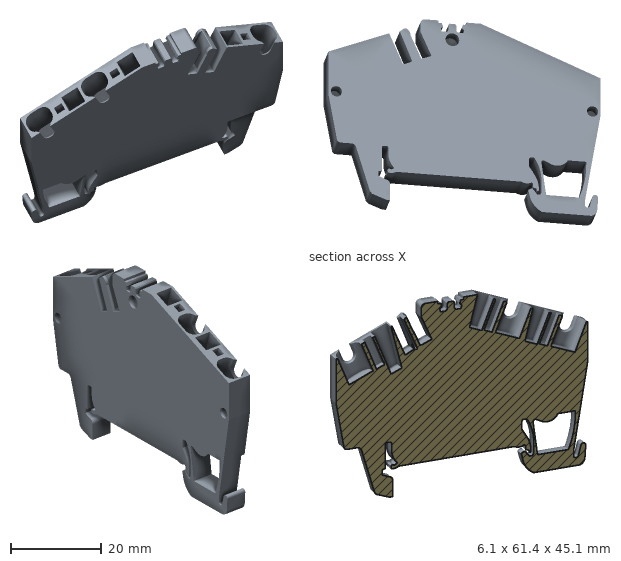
import cadquery as cq
import math

THICKNESS = 6.1
LENGTH = 61.4
HEIGHT = 45.11

RAIL_Z = 7.06
FOOT_TOP_Z = 13.18
FOOT_THICKNESS = 5.15
REAR_SLOT_S = 13.0
REAR_TOE_S = 14.5
RAIL_GAP_Z = 6.3
SIDE_TAPER_Z = 24.8
REAR_EDGE_Z = 35.35
FRONT_EDGE_Z = 34.0
TOP_CORNER_RADIUS = 0.97
TOP_REAR_S = 20.78
FRONT_SLOPE_S = 34.4

GROOVE_S = 27.98
GROOVE_FLOOR_Z = 42.48
GROOVE_STEP_Z = 44.52

REAR_SLOPE_END = (13.7, 41.0)
SLOT_LEAN = math.atan2(3.27, 7.43)
FIN_TOP_Z = 42.5
FIN_SIDE_LIP = 0.7
FIN_REAR = (16.6, 41.9)
FIN_FRONT = (17.25, FIN_TOP_Z)
FIN_REAR_FOOT = (18.92, 34.53)
FIN_FRONT_FOOT = (20.96, 35.35)
FIN_REAR_CORNER = (16.1, 41.66)
FIN_FRONT_CORNER = (18.55, 40.92)
FIN_CLEARANCE = 0.1
FIN_RIB_X = (2.6, 3.5)
FIN_RIB_TOP_Z = 39.5
FIN_RIB_CREST = (19.35, 38.0)

END_HOLE_INSET = 1.8
END_HOLE_Z = 25.7
END_HOLE_DIAMETER = 2.5
PEG_HOLES = (
    (END_HOLE_INSET, END_HOLE_Z, END_HOLE_DIAMETER),
    (LENGTH - END_HOLE_INSET, END_HOLE_Z, END_HOLE_DIAMETER),
    (GROOVE_S, 40.62, 3.1),
)
PEG_HOLE_DEPTH = 2.5

FRONT_UNITS = 2
UNIT_PITCH = 13.5
WIRE_CENTRE = 3.3
WIRE_X = 3.05
WIRE_WIDTH = 5.0
WIRE_LENGTH = 6.2
WIRE_CORNER = 2.05
WIRE_DEPTH = 7.4
NOTCH_X = 5.3
NOTCH_WIDTH = 3.8
NOTCH_DEPTH = 4.4
NOTCH_OVERSHOOT = 2.0
NOTCH_TAPER = 35
TEST_X = (2.6, 4.45)
TEST_RANGE = (7.08, 8.93)
TEST_DEPTH = 7.5
TOOL_X = (1.3, 5.55)
TOOL_RANGE = (9.5, 13.37)
TOOL_DEPTH_FRONT = 7.7
TOOL_DEPTH_REAR = 10.5
TOOL_WALL_TAPER = math.radians(8)


def side_plane(x=0.0):
    """Plane across the thickness; local axes are s (from the rear end towards -Y) and Z."""
    return cq.Workplane(cq.Plane(origin=(x, LENGTH / 2, 0), xDir=(0, -1, 0), normal=(-1, 0, 0)))


def prism(points, x_start, x_end):
    """Straight-sided outline in (s, z), extruded between two X levels."""
    return side_plane(x_start).polyline(points).close().extrude(x_start - x_end)


def draw_marker_groove(outline):
    """Stepped groove with a central tab, mirror-symmetric about GROOVE_S."""
    half = [
        (3.15, HEIGHT),
        (3.1, GROOVE_STEP_Z),
        (2.4, GROOVE_STEP_Z),
        (2.1, 43.7),
        (2.63, 43.15),
        (2.45, GROOVE_FLOOR_Z),
        (1.2, GROOVE_FLOOR_Z),
        (0.95, 42.8),
        (0.87, 44.2),
        (0.65, GROOVE_STEP_Z),
    ]
    for offset, z in half:
        outline = outline.lineTo(GROOVE_S - offset, z)
    for offset, z in reversed(half):
        outline = outline.lineTo(GROOVE_S + offset, z)
    return outline


def draw_top(outline):
    """Rear slope, slanted slots, fin, marker groove and front slope."""
    outline = (
        outline.lineTo(*REAR_SLOPE_END)
        .lineTo(16.88, 33.57)
        .lineTo(*FIN_REAR_FOOT)
        .lineTo(*FIN_REAR_CORNER)
        .lineTo(17.1, FIN_TOP_Z)
        .lineTo(17.6, FIN_TOP_Z)
        .threePointArc((18.0, 42.2), FIN_FRONT_CORNER)
        .lineTo(*FIN_FRONT_FOOT)
        .lineTo(23.27, 36.24)
        .lineTo(TOP_REAR_S, 41.92)
        .lineTo(TOP_REAR_S, HEIGHT - TOP_CORNER_RADIUS)
        .tangentArcPoint((TOP_REAR_S + TOP_CORNER_RADIUS, HEIGHT), relative=False)
    )
    return draw_marker_groove(outline).lineTo(FRONT_SLOPE_S, HEIGHT).lineTo(LENGTH, FRONT_EDGE_Z)


def draw_front_foot(outline):
    """Spring arm with a release lip, and the hook that catches the rail."""
    return (
        outline.lineTo(LENGTH, SIDE_TAPER_Z)
        .lineTo(57.95, 3.9)
        .lineTo(57.9, 2.5)
        .threePointArc((58.4, 2.0), (59.0, 2.45))
        .lineTo(59.56, 4.6)
        .threePointArc((60.25, 5.22), (60.88, 4.6))
        .lineTo(60.7, 1.85)
        .threePointArc((60.25, 0.6), (59.35, 0))
        .lineTo(48.2, 0)
        .threePointArc((46.5, 1.4), (45.5, 3.4))
        .lineTo(45.1, 5.1)
        .threePointArc((45.5, 5.45), (46.1, 5.57))
        .lineTo(47.1, 4.27)
        .lineTo(47.8, 4.27)
        .lineTo(48.05, 4.7)
        .lineTo(48.05, 7.3)
        .threePointArc((47.5, 11.1), (46.57, 13.0))
        .lineTo(46.35, FOOT_TOP_Z)
        .lineTo(45.5, FOOT_TOP_Z)
        .lineTo(45.27, 12.8)
        .lineTo(45.27, 11.03)
        .lineTo(46.35, 9.23)
        .threePointArc((47.25, 7.4), (47.46, 5.09))
        .lineTo(47.1, 5.09)
        .lineTo(46.95, 5.6)
        .lineTo(46.2, 5.9)
        .lineTo(46.2, 6.8)
        .lineTo(45.83, RAIL_Z)
        .threePointArc((44.7, 6.74), (43.5, RAIL_Z))
    )


def draw_rear_foot(outline):
    """Rail underside, rear slot with its lip, and the fixed rear foot."""
    return (
        outline.lineTo(15.3, RAIL_Z)
        .threePointArc((14.3, 6.7), (13.4, 6.76))
        .lineTo(13.36, 7.5)
        .lineTo(13.7, 7.75)
        .lineTo(14.3, 7.6)
        .lineTo(14.9, 7.95)
        .threePointArc((13.9, 9.4), (13.54, 11.03))
        .lineTo(13.54, 12.9)
        .lineTo(13.3, FOOT_TOP_Z)
        .lineTo(12.3, FOOT_TOP_Z)
        .lineTo(12.06, 12.9)
        .lineTo(12.06, RAIL_Z)
        .lineTo(11.3, 6.85)
        .lineTo(11.3, 5.72)
        .lineTo(13.0, 5.0)
        .threePointArc((13.7, 4.55), (13.9, 3.9))
        .lineTo(13.9, 0)
        .lineTo(13.06, 0)
        .lineTo(9.9, 1.19)
        .lineTo(9.4, 1.7)
        .lineTo(6.25, 12.3)
        .threePointArc((5.95, 12.85), (5.4, FOOT_TOP_Z))
        .lineTo(2.78, FOOT_TOP_Z)
        .threePointArc((2.2, 13.4), (1.93, 13.8))
        .lineTo(0, SIDE_TAPER_Z)
    )


def draw_bulge(outline):
    """Wavy underside of the body above the window in the front foot."""
    return (
        outline.lineTo(48.05, 12.3)
        .threePointArc((48.25, 12.65), (48.8, 12.65))
        .lineTo(50.0, 12.05)
        .threePointArc((52.3, 11.8), (54.06, FOOT_TOP_Z))
    )


def make_plate():
    outline = draw_top(side_plane().moveTo(0, REAR_EDGE_Z))
    outline = draw_front_foot(outline)
    outline = draw_rear_foot(outline)
    return outline.close().extrude(-THICKNESS)


def make_window():
    """Opening between the spring leaf and the outer arm of the front foot."""
    outline = draw_bulge(side_plane().moveTo(49.05, 4.9))
    return (
        outline.lineTo(58.2, FOOT_TOP_Z)
        .threePointArc((57.9, 8.8), (56.6, 4.27))
        .lineTo(49.17, 4.27)
        .close()
        .extrude(-THICKNESS)
    )


def make_foot_relief():
    """Material taken off the +X side of both feet."""
    rear = prism(
        [
            (0, 0),
            (REAR_TOE_S, 0),
            (REAR_TOE_S, RAIL_GAP_Z),
            (REAR_SLOT_S, RAIL_GAP_Z),
            (REAR_SLOT_S, FOOT_TOP_Z),
            (0, FOOT_TOP_Z),
        ],
        FOOT_THICKNESS,
        THICKNESS,
    )
    relief_start = side_plane(FOOT_THICKNESS).moveTo(46.5, FOOT_TOP_Z)
    spring = (
        draw_bulge(relief_start)
        .lineTo(LENGTH, FOOT_TOP_Z)
        .lineTo(LENGTH, 0)
        .lineTo(47.75, 0)
        .lineTo(47.75, 9.0)
        .close()
        .extrude(FOOT_THICKNESS - THICKNESS)
    )
    hook = prism(
        [(45, 0), (48, 0), (48, 4.9), (46.9, 4.9), (46.1, 5.75), (45, 5.75)],
        FOOT_THICKNESS,
        THICKNESS,
    )
    return rear.union(spring).union(hook)


def lean(point, z):
    """Point at level z on the line through `point` that follows the slots."""
    return (point[0] + (point[1] - z) * math.tan(SLOT_LEAN), z)


def thin_fin(body):
    """Reduce the fin to a thin web between its side lips, with a small rib on the web."""
    x_start = FIN_SIDE_LIP
    x_end = THICKNESS - FIN_SIDE_LIP
    rear = [
        (FIN_REAR_CORNER[0], HEIGHT),
        lean(FIN_REAR, HEIGHT),
        lean(FIN_REAR, FIN_REAR_FOOT[1]),
        FIN_REAR_FOOT,
        lean(FIN_REAR_CORNER, FIN_REAR_FOOT[1]),
        FIN_REAR_CORNER,
    ]
    front_clear = (FIN_FRONT_CORNER[0] + FIN_CLEARANCE, FIN_FRONT_CORNER[1])
    front = [
        lean(FIN_FRONT, HEIGHT),
        (front_clear[0], HEIGHT),
        front_clear,
        FIN_FRONT_FOOT,
        lean(FIN_FRONT, FIN_FRONT_FOOT[1]),
    ]
    body = body.cut(prism(rear, x_start, x_end)).cut(prism(front, x_start, x_end))
    rib = [
        lean(FIN_FRONT, FIN_RIB_TOP_Z),
        FIN_RIB_CREST,
        lean(FIN_RIB_CREST, FIN_FRONT_FOOT[1]),
        lean(FIN_FRONT, FIN_FRONT_FOOT[1]),
    ]
    return body.union(prism(rib, *FIN_RIB_X))


def make_unit(edge_z, outward, slope, end_offset, tool_depth):
    """Cutter for one clamping unit; `outward` is +1 at the +Y end and -1 at the -Y end."""
    edge_y = outward * LENGTH / 2
    normal = (0, outward * math.sin(slope), math.cos(slope))
    plane = cq.Plane(origin=(0, edge_y, edge_z), xDir=(1, 0, 0), normal=normal)
    cos_slope = math.cos(slope)

    def along(distance):
        """Local coordinate on the slope for a horizontal distance from the unit's outer end."""
        return -outward * (end_offset + distance) / cos_slope

    def section_plane(x):
        """Plane at X level `x`, spanned by the slope line and its normal."""
        return cq.Plane(origin=(x, edge_y, edge_z), xDir=plane.yDir, normal=(1, 0, 0))

    def pocket(x_range, s_range, depth):
        start, end = along(s_range[0]), along(s_range[1])
        return (
            cq.Workplane(plane)
            .center(sum(x_range) / 2, (start + end) / 2)
            .rect(x_range[1] - x_range[0], abs(end - start))
            .extrude(-depth)
        )

    wire = along(WIRE_CENTRE)
    unit = (
        cq.Workplane(plane)
        .center(WIRE_X, wire)
        .rect(WIRE_WIDTH, WIRE_LENGTH)
        .extrude(-WIRE_DEPTH)
        .edges(cq.selectors.ParallelDirSelector(plane.zDir))
        .fillet(WIRE_CORNER)
    )

    radius = NOTCH_WIDTH / 2
    straight = NOTCH_DEPTH - radius
    notch = (
        cq.Workplane(section_plane(NOTCH_X))
        .moveTo(wire - radius, NOTCH_OVERSHOOT)
        .lineTo(wire + radius, NOTCH_OVERSHOOT)
        .lineTo(wire + radius, -straight)
        .threePointArc((wire, -NOTCH_DEPTH), (wire - radius, -straight))
        .close()
        .extrude(THICKNESS - NOTCH_X, taper=NOTCH_TAPER)
    )
    unit = unit.union(notch).union(pocket(TEST_X, TEST_RANGE, TEST_DEPTH))

    taper = tool_depth * math.tan(TOOL_WALL_TAPER)
    outer, inner = along(TOOL_RANGE[0]), along(TOOL_RANGE[1])
    tool = (
        cq.Workplane(section_plane(TOOL_X[0]))
        .polyline([(outer, 0), (inner, 0), (inner + outward * taper, -tool_depth), (outer, -tool_depth)])
        .close()
        .extrude(TOOL_X[1] - TOOL_X[0])
    )
    return unit.union(tool)


def make_peg_hole(s, z, diameter):
    return side_plane().center(s, z).circle(diameter / 2).extrude(-PEG_HOLE_DEPTH)


front_slope = math.atan2(HEIGHT - FRONT_EDGE_Z, LENGTH - FRONT_SLOPE_S)
rear_slope = math.atan2(REAR_SLOPE_END[1] - REAR_EDGE_Z, REAR_SLOPE_END[0])

result = make_plate().cut(make_window()).cut(make_foot_relief())
result = thin_fin(result)
result = result.cut(make_unit(REAR_EDGE_Z, 1, rear_slope, 0, TOOL_DEPTH_REAR))
for index in range(FRONT_UNITS):
    result = result.cut(
        make_unit(FRONT_EDGE_Z, -1, front_slope, index * UNIT_PITCH, TOOL_DEPTH_FRONT)
    )
for hole in PEG_HOLES:
    result = result.cut(make_peg_hole(*hole))